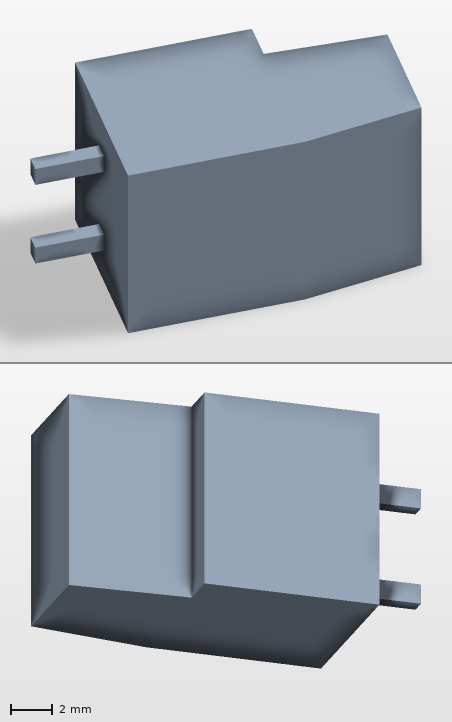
import cadquery as cq

total_length = 18.7
width = 9.0
height = 10.0

base_length = 9.0
pin_length = 3.5
nose_length = total_length - pin_length - base_length
step_width = 2.0
nose_left_inset = 2.3
nose_right_inset = 0.88

pin_width = 0.85
pin_height = 1.01
pin_pitch = 5.0
pin_count = 2


def make_housing():
    """Extrude the stepped housing outline, front face at Y = 0, centred in X and Z."""
    left = -width / 2
    right = width / 2
    back = base_length + nose_length
    outline = [
        (left, 0),
        (right, 0),
        (right, base_length),
        (right - nose_right_inset, back),
        (left + nose_left_inset, back),
        (left + step_width, base_length),
        (left, base_length),
    ]
    return (
        cq.Workplane("XY")
        .workplane(offset=-height / 2)
        .polyline(outline)
        .close()
        .extrude(height)
    )


def make_pins():
    """Extrude a vertical row of rectangular pins forward from the front face."""
    return (
        cq.Workplane("XZ")
        .rarray(0.19, pin_pitch, 1, pin_count)
        .rect(pin_width, pin_height)
        .extrude(pin_length)
    )


result = make_housing().union(make_pins())